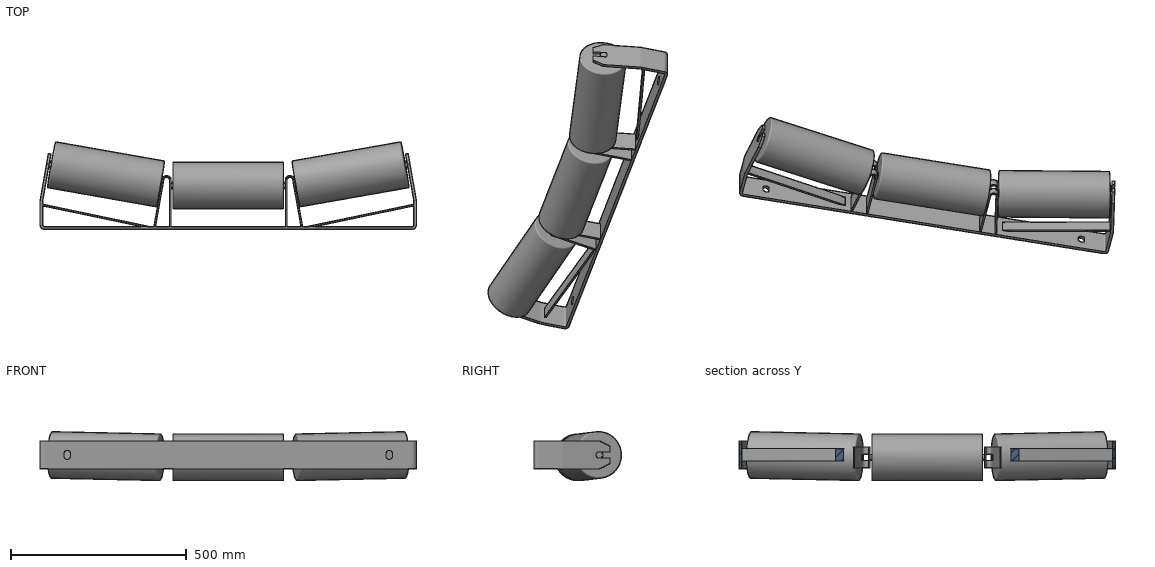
import cadquery as cq
import math


frame_length = 1070.0
strip_width = 80.0
strip_thickness = 8.0
bend_inner_radius = 5.0
bend_outer_radius = bend_inner_radius + strip_thickness
trough_angle = 10.0
end_bend_height = 82.0
arm_tip_height = 216.0
arm_tip_cut_length = 30.0
arm_tip_cut_width = 15.0
mount_slot_spacing = 915.0
mount_slot_width = 18.0
mount_slot_height = 26.0

hook_thickness = 5.0
hook_width = 60.0
hook_crown_height = 153.0
hook_outer_radius = 13.0
hook_inner_radius = hook_outer_radius - hook_thickness
hook_upright_face = 162.0

brace_thickness = 5.0
brace_angle = 11.8
brace_wall_height = 71.7
brace_foot_x = 228.0
brace_width = 36.0

roller_diameter = 133.0
roller_length = 315.0
roller_edge_radius = 4.0
shaft_diameter = 20.0
shaft_flat_width = 17.0
roller_drop = 7.0
middle_roller_height = 125.0
outer_roller_x = 347.5
outer_roller_height = 156.5
outer_roller_twist = 1.2
slot_reach = 22.0
slot_height = 80.0

half_frame = frame_length / 2
half_roller = roller_length / 2
crown_x = -hook_upright_face - hook_outer_radius
crown_y = hook_crown_height - hook_outer_radius
lean_sin = math.sin(math.radians(trough_angle))
lean_cos = math.cos(math.radians(trough_angle))
lean_tan = lean_sin / lean_cos


def round_upright_edge(body, x, y, radius):
    """Round the Z-parallel edge nearest to (x, y)."""
    return body.edges("|Z").edges(cq.NearestToPointSelector((x, y, 0))).fillet(radius)


def mirrored(body):
    return body.mirror("YZ")


def half_strip():
    """Left half of the base strip with its end wall and leaning arm."""
    inner_wall_x = -half_frame + strip_thickness
    inner_bend_height = end_bend_height - strip_thickness * math.tan(math.radians(trough_angle / 2))
    arm_length = (arm_tip_height - end_bend_height) / lean_cos
    tip_x = -half_frame + arm_length * lean_sin
    tip_inner_x = tip_x + strip_thickness * lean_cos
    tip_inner_y = arm_tip_height - strip_thickness * lean_sin
    strip = (
        cq.Workplane("XY")
        .moveTo(0, 0)
        .lineTo(-half_frame, 0)
        .lineTo(-half_frame, end_bend_height)
        .lineTo(tip_x, arm_tip_height)
        .lineTo(tip_inner_x, tip_inner_y)
        .lineTo(inner_wall_x, inner_bend_height)
        .lineTo(inner_wall_x, strip_thickness)
        .lineTo(0, strip_thickness)
        .close()
        .extrude(strip_width / 2, both=True)
    )
    strip = round_upright_edge(strip, -half_frame, 0, bend_outer_radius)
    strip = round_upright_edge(strip, inner_wall_x, strip_thickness, bend_inner_radius)
    strip = round_upright_edge(strip, -half_frame, end_bend_height, bend_outer_radius)
    strip = round_upright_edge(strip, inner_wall_x, inner_bend_height, bend_inner_radius)

    arm_plane = cq.Plane(
        origin=(tip_x, arm_tip_height, 0), xDir=(lean_sin, lean_cos, 0), normal=(lean_cos, -lean_sin, 0)
    )
    for side in (-1, 1):
        corner = (
            cq.Workplane(arm_plane)
            .moveTo(0, side * strip_width / 2)
            .lineTo(-arm_tip_cut_length, side * strip_width / 2)
            .lineTo(0, side * (strip_width / 2 - arm_tip_cut_width))
            .close()
            .extrude(strip_thickness)
        )
        strip = strip.cut(corner)

    mount_slot = (
        cq.Workplane("XZ")
        .center(-mount_slot_spacing / 2, 0)
        .slot2D(mount_slot_height, mount_slot_width, 90)
        .extrude(-strip_thickness)
    )
    return strip.cut(mount_slot)


def hook_bracket():
    """Left hook: an upright leg, a round crown and a leg leaning like the outer roller's end."""
    foot_y = strip_thickness / 2

    def leaning_side(radius):
        top = (crown_x - radius * lean_cos, crown_y + radius * lean_sin)
        foot = (top[0] - (top[1] - foot_y) * lean_tan, foot_y)
        return top, foot

    outer_top, outer_foot = leaning_side(hook_outer_radius)
    inner_top, inner_foot = leaning_side(hook_inner_radius)
    return (
        cq.Workplane("XY")
        .moveTo(-hook_upright_face, foot_y)
        .lineTo(-hook_upright_face, crown_y)
        .threePointArc((crown_x, crown_y + hook_outer_radius), outer_top)
        .lineTo(*outer_foot)
        .lineTo(*inner_foot)
        .lineTo(*inner_top)
        .threePointArc((crown_x, crown_y + hook_inner_radius), (crown_x + hook_inner_radius, crown_y))
        .lineTo(crown_x + hook_inner_radius, foot_y)
        .close()
        .extrude(hook_width / 2, both=True)
        .translate((0, 0, -roller_drop))
    )


def corner_brace():
    """Left brace: a flat bar from the end wall down to the base strip."""
    wall_x = -half_frame + strip_thickness / 2
    slope = math.tan(math.radians(brace_angle))
    wall_depth = brace_thickness / math.cos(math.radians(brace_angle))
    top_foot_y = brace_wall_height - (half_frame - strip_thickness - brace_foot_x) * slope
    start_y = brace_wall_height + slope * strip_thickness / 2
    end_x = -brace_foot_x - brace_thickness * math.sin(math.radians(brace_angle))
    end_y = top_foot_y - brace_thickness * math.cos(math.radians(brace_angle))
    return (
        cq.Workplane("XY")
        .moveTo(wall_x, start_y)
        .lineTo(-brace_foot_x, top_foot_y)
        .lineTo(end_x, end_y)
        .lineTo(wall_x, start_y - wall_depth)
        .close()
        .extrude(brace_width / 2, both=True)
    )


def shaft_section(start_x):
    """Shaft cross-section with two flats, on a plane square to X."""
    half_flat = shaft_flat_width / 2
    flat_y = math.sqrt((shaft_diameter / 2) ** 2 - half_flat**2)
    return (
        cq.Workplane("YZ", origin=(start_x, 0, 0))
        .moveTo(-flat_y, -half_flat)
        .lineTo(flat_y, -half_flat)
        .threePointArc((shaft_diameter / 2, 0), (flat_y, half_flat))
        .lineTo(-flat_y, half_flat)
        .threePointArc((-shaft_diameter / 2, 0), (-flat_y, -half_flat))
        .close()
    )


def roller(left_stub, right_stub):
    """Roller with shaft stubs of the given lengths beyond its two ends."""
    shell = (
        cq.Workplane("YZ", origin=(-half_roller, 0, 0))
        .circle(roller_diameter / 2)
        .extrude(roller_length)
        .edges()
        .fillet(roller_edge_radius)
    )
    shaft = shaft_section(-half_roller - left_stub).extrude(roller_length + left_stub + right_stub)
    return shell.union(shaft)


def shaft_slot():
    """Space a shaft needs to be dropped into its supports from above."""
    length = roller_length + 2 * slot_reach
    seat = shaft_section(-length / 2).extrude(length)
    entry = cq.Workplane("XY").box(length, slot_height, shaft_flat_width).translate((0, slot_height / 2, 0))
    return seat.union(entry)


def place_middle(body):
    return body.translate((0, middle_roller_height, -roller_drop))


def place_left(body):
    """Tilt a body from the X axis to the left outer roller's axis."""
    return (
        body.rotate((0, 0, 0), (0, 1, 0), outer_roller_twist)
        .rotate((0, 0, 0), (0, 0, 1), -trough_angle)
        .translate((-outer_roller_x, outer_roller_height, -roller_drop / 2))
    )


middle_stub = hook_upright_face + hook_thickness - half_roller
arm_stub = (
    (half_frame - outer_roller_x) * lean_cos
    - (outer_roller_height - end_bend_height) * lean_sin
    - half_roller
)
hook_stub = (
    (outer_roller_x + crown_x) * lean_cos
    + (outer_roller_height - crown_y) * lean_sin
    - hook_inner_radius
    - half_roller
)

middle_roller = place_middle(roller(middle_stub, middle_stub))
left_roller = place_left(roller(arm_stub, hook_stub))
right_roller = mirrored(left_roller)

half_structure = half_strip().union(hook_bracket()).union(corner_brace())
frame = half_structure.union(mirrored(half_structure))
left_slot = place_left(shaft_slot())
for slot in (left_slot, mirrored(left_slot), place_middle(shaft_slot())):
    frame = frame.cut(slot)

bodies = (frame, left_roller, middle_roller, right_roller)
result = cq.Compound.makeCompound([body.solids().val() for body in bodies])